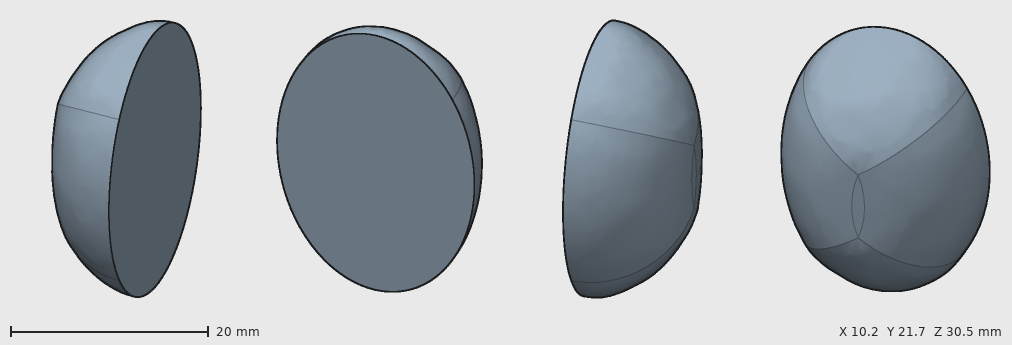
import cadquery as cq
import math

length = 30.48
width = 21.67
height = 10.15
crown_length = 7.53
crown_width = 1.37
seam_end_z = 9.63
round_fullness = 0.55
end_fullness = 0.43

half_length = length / 2
half_width = width / 2
crown_tip_z = crown_length / 2
seam_angle = math.degrees(math.asin(seam_end_z / half_length))
guide_steps = (0.2, 0.4, 0.6, 0.8)
side_guides = (-0.6, -0.3, 0, 0.3, 0.6)
end_guides = (-0.6, -0.3, 0, 0.3, 0.6)


def rim_point(angle):
    """Point on the elliptical rim; 0 degrees is +Y and 90 degrees is +Z."""
    turn = math.radians(angle)
    return cq.Vector(0, half_width * math.cos(turn), half_length * math.sin(turn))


def rim_edge(start, end):
    middle = (start + end) / 2
    span = (end - start) / 2
    angles = [middle + span * step / 4 for step in range(-4, 5)]
    return cq.Edge.makeSpline([rim_point(angle) for angle in angles])


def profile(crown, rim, fullness):
    """Quarter profile leaving the crown flat and meeting the rim upright."""
    outward = cq.Vector(0, rim.y - crown.y, rim.z - crown.z)
    upright = cq.Vector(-height, 0, 0)
    return cq.Edge.makeBezier(
        [crown, crown + outward * fullness, rim + upright * fullness, rim]
    )


def guide_points(edge):
    return [edge.positionAt(step) for step in guide_steps]


def crown_edge(side):
    return cq.Edge.makeThreePointArc(
        crown_tips[-1],
        cq.Vector(-height, side * crown_width / 2, 0),
        crown_tips[1],
    )


crown_tips = {end: cq.Vector(-height, 0, end * crown_tip_z) for end in (-1, 1)}


def seam_rim_angle(side, end):
    return end * seam_angle if side > 0 else 180 - end * seam_angle


seams = {
    (side, end): profile(crown_tips[end], rim_point(seam_rim_angle(side, end)), round_fullness)
    for side in (-1, 1)
    for end in (-1, 1)
}
crown_edges = {side: crown_edge(side) for side in (-1, 1)}
side_rims = {
    side: rim_edge(seam_rim_angle(side, -1), seam_rim_angle(side, 1)) for side in (-1, 1)
}
end_rims = {
    end: rim_edge(end * seam_angle, end * (180 - seam_angle)) for end in (-1, 1)
}


def side_face(side):
    points = []
    for position in side_guides:
        crown = crown_edges[side].positionAt((1 + position) / 2)
        rim = rim_point(seam_rim_angle(side, position))
        points += guide_points(profile(crown, rim, round_fullness))
    edges = [crown_edges[side], seams[side, 1], side_rims[side], seams[side, -1]]
    return cq.Face.makeNSidedSurface(edges, points)


def end_face(end):
    points = []
    for position in end_guides:
        rim = rim_point(end * (90 + position * (90 - seam_angle)))
        fullness = end_fullness + (round_fullness - end_fullness) * position**2
        points += guide_points(profile(crown_tips[end], rim, fullness))
    edges = [seams[1, end], end_rims[end], seams[-1, end]]
    return cq.Face.makeNSidedSurface(edges, points)


def flat_face(edges):
    return cq.Face.makeFromWires(cq.Wire.assembleEdges(edges))


crown_face = flat_face([crown_edges[1], crown_edges[-1]])
base_face = flat_face([side_rims[1], end_rims[1], side_rims[-1], end_rims[-1]])
dome_faces = [side_face(side) for side in (-1, 1)] + [end_face(end) for end in (-1, 1)]
dome = cq.Solid.makeSolid(cq.Shell.makeShell([crown_face, base_face] + dome_faces))
result = cq.Workplane("XY").newObject([dome.fix()])